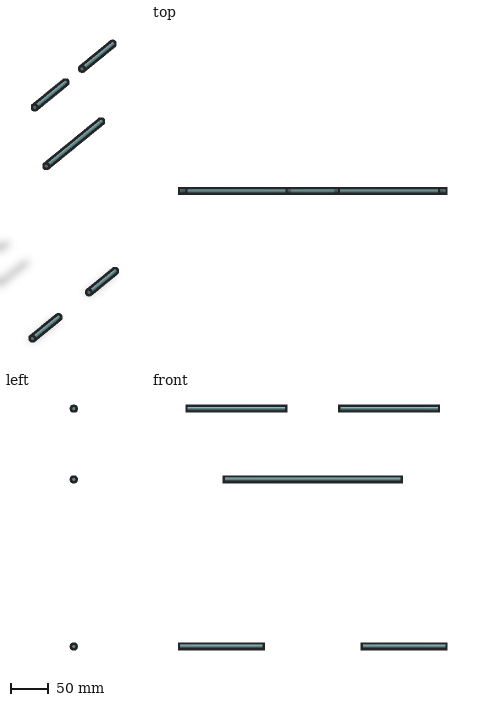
import cadquery as cq

rod_diameter = 8.0

overall_width = 356.0
lower_rod_length = 113.0

overall_height = 324.1
upper_axis_z = overall_height - rod_diameter
upper_rod_length = 133.0
upper_rod_gap = 70.0

middle_rod_length = 237.0
middle_rod_drop = 94.0
middle_axis_z = upper_axis_z - middle_rod_drop


def make_rod(length, center_x, axis_z):
    """Plain round rod along X, centred at center_x on an axis at height axis_z."""
    return (
        cq.Workplane("YZ")
        .circle(rod_diameter / 2)
        .extrude(length)
        .translate((center_x - length / 2, 0, axis_z))
    )


lower_center_x = (overall_width - lower_rod_length) / 2
upper_center_x = (upper_rod_gap + upper_rod_length) / 2

lower_rods = []
upper_rods = []
for side in (-1, 1):
    lower_rods.append(make_rod(lower_rod_length, side * lower_center_x, 0).val())
    upper_rods.append(make_rod(upper_rod_length, side * upper_center_x, upper_axis_z).val())

middle_rod = make_rod(middle_rod_length, 0, middle_axis_z)

result = cq.Compound.makeCompound([*lower_rods, *upper_rods, middle_rod.val()])